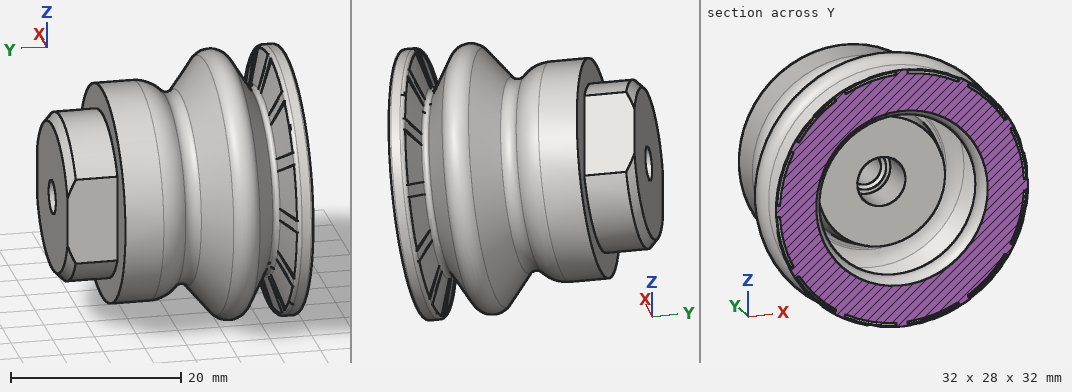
import cadquery as cq
import math


total_length = 28.0
boss_radius = 10.0
boss_chamfer = 1.0
boss_across_flats = 17.0

collar_radius = 13.0
collar_top = 22.0
collar_bottom = 17.4
shoulder_round = 4.0
shoulder_end = 14.5

upper_waist_radius = 11.32
upper_waist_height = 13.55
upper_waist_end_radius = 11.6
upper_waist_end = 12.6

fold_radius = 16.0
fold_height = 8.0
fold_round = 2.0
fold_upper_angle = 49.0
fold_lower_angle = -58.5

lower_waist_radius = 11.0
lower_waist_height = 3.45
lower_waist_top_radius = 11.25
lower_waist_top = 3.95
lower_waist_bottom = 3.1

lip_radius = 16.0
lip_back_inner_radius = 11.35
lip_back_round = 0.55
lip_back_round_angle = 75.0
lip_back_round_end = 1.45
lip_edge_height = 0.35
lip_crest_radius = 15.6
lip_mouth_radius = 15.15
lip_mouth_height = 0.22

rib_count = 12
rib_width = 1.45
rib_height = 0.2

throat_radius = 9.87
throat_height = 3.45
throat_round = 1.93
throat_flare_angle = 70.0
fold_wall = 1.16
cavity_floor_radius = 9.31
cavity_floor_round = 3.0

insert_face_radius = 7.95
insert_base_radius = 8.5
insert_height = 8.87
insert_fillet = 0.58

counterbore_radius = 3.0
counterbore_end = 14.0
countersink_radius = 2.47
passage_radius = 2.0


def on_circle(center, radius, angle):
    """Point in the radius-height plane, with the angle measured from the radial direction."""
    turn = math.radians(angle)
    return center[0] + radius * math.cos(turn), center[1] + radius * math.sin(turn)


fold_center = (fold_radius - fold_round, fold_height)
lip_back_round_center = (lip_radius - lip_back_round, lip_back_round_end)
lip_back_edge = on_circle(lip_back_round_center, lip_back_round, lip_back_round_angle)


def revolve(profile):
    """Turn a closed radius-height profile around the Y axis."""
    return profile.close().revolve(360, (0, 0, 0), (0, 1, 0))


def make_outer_body():
    """Outside shape from the fitting boss down to the lip, without any openings."""
    shoulder_center = (collar_radius - shoulder_round, collar_bottom)
    shoulder_angle = math.degrees(math.asin((shoulder_end - collar_bottom) / shoulder_round))
    profile = (
        cq.Workplane("XY")
        .moveTo(0, total_length)
        .lineTo(boss_radius - boss_chamfer, total_length)
        .lineTo(boss_radius, total_length - boss_chamfer)
        .lineTo(boss_radius, collar_top)
        .lineTo(collar_radius, collar_top)
        .lineTo(collar_radius, collar_bottom)
        .threePointArc(
            on_circle(shoulder_center, shoulder_round, shoulder_angle / 2),
            on_circle(shoulder_center, shoulder_round, shoulder_angle),
        )
        .threePointArc(
            (upper_waist_radius, upper_waist_height),
            (upper_waist_end_radius, upper_waist_end),
        )
        .lineTo(*on_circle(fold_center, fold_round, fold_upper_angle))
        .threePointArc(
            (fold_radius, fold_height),
            on_circle(fold_center, fold_round, fold_lower_angle),
        )
        .lineTo(lower_waist_top_radius, lower_waist_top)
        .threePointArc(
            (lower_waist_radius, lower_waist_height),
            (lip_back_inner_radius, lower_waist_bottom),
        )
        .lineTo(*lip_back_edge)
        .threePointArc(
            on_circle(lip_back_round_center, lip_back_round, lip_back_round_angle / 2),
            (lip_radius, lip_back_round_end),
        )
        .lineTo(lip_radius, lip_edge_height)
        .threePointArc((lip_crest_radius, 0), (lip_mouth_radius, lip_mouth_height))
        .lineTo(0, lip_mouth_height)
    )
    return revolve(profile)


def cut_flats(body):
    """Two parallel wrench flats on the fitting boss."""
    flat_depth = boss_radius - boss_across_flats / 2
    boss_length = total_length - collar_top
    for side in (-1, 1):
        slab = cq.Workplane("XY").box(flat_depth, boss_length, 2 * boss_radius)
        slab = slab.translate(
            (side * (boss_across_flats + flat_depth) / 2, collar_top + boss_length / 2, 0)
        )
        body = body.cut(slab)
    return body


def cut_recesses_between_ribs(body):
    """Wedge-shaped ring sunk into the lip back, interrupted by radial ribs left standing."""
    recess = revolve(
        cq.Workplane("XY")
        .moveTo(lip_back_inner_radius, lower_waist_bottom)
        .lineTo(*lip_back_edge)
        .lineTo(lip_back_edge[0], lip_back_edge[1] - rib_height)
    )
    rib = cq.Workplane("XY").box(lip_radius, lower_waist_height, rib_width)
    rib = rib.translate((lip_radius / 2, lower_waist_height / 2, 0))
    for index in range(rib_count):
        recess = recess.cut(rib.rotate((0, 0, 0), (0, 1, 0), index * 360 / rib_count))
    return body.cut(recess)


def make_cavity():
    """Flared mouth, rounded throat, hollow fold and ring-shaped floor around the insert."""
    inner_fold_round = fold_round - fold_wall
    upper_wall_start = on_circle(fold_center, inner_fold_round, fold_upper_angle)
    upper_wall_tilt = math.radians(fold_upper_angle)
    upper_wall_end_radius = cavity_floor_radius + cavity_floor_round * math.cos(upper_wall_tilt)
    upper_wall_rise = (upper_wall_start[0] - upper_wall_end_radius) / math.tan(upper_wall_tilt)
    upper_wall_end_height = upper_wall_start[1] + upper_wall_rise
    floor_round_center = (
        cavity_floor_radius,
        upper_wall_end_height - cavity_floor_round * math.sin(upper_wall_tilt),
    )
    cavity_depth = floor_round_center[1] + cavity_floor_round
    throat_center = (throat_radius + throat_round, throat_height)
    flare_end = 180 + throat_flare_angle
    fillet_center = (insert_base_radius + insert_fillet, cavity_depth - insert_fillet)
    profile = (
        cq.Workplane("XY")
        .moveTo(0, 0)
        .lineTo(lip_mouth_radius, 0)
        .lineTo(lip_mouth_radius, lip_mouth_height)
        .lineTo(*on_circle(throat_center, throat_round, flare_end))
        .threePointArc(
            (throat_radius, throat_height),
            on_circle(throat_center, throat_round, 180 + fold_lower_angle),
        )
        .lineTo(*on_circle(fold_center, inner_fold_round, fold_lower_angle))
        .threePointArc(
            (fold_center[0] + inner_fold_round, fold_height),
            upper_wall_start,
        )
        .lineTo(upper_wall_end_radius, upper_wall_end_height)
        .threePointArc(
            on_circle(floor_round_center, cavity_floor_round, (fold_upper_angle + 90) / 2),
            (cavity_floor_radius, cavity_depth),
        )
        .lineTo(fillet_center[0], cavity_depth)
        .threePointArc(
            on_circle(fillet_center, insert_fillet, (90 + 180) / 2),
            (insert_base_radius, fillet_center[1]),
        )
        .lineTo(insert_face_radius, insert_height)
        .lineTo(0, insert_height)
    )
    return revolve(profile)


def make_passage():
    """Counterbore from the insert face, narrowing through a 45 degree seat to the passage."""
    seat_end = counterbore_end + countersink_radius - passage_radius
    profile = (
        cq.Workplane("XY")
        .moveTo(0, 0)
        .lineTo(counterbore_radius, 0)
        .lineTo(counterbore_radius, counterbore_end)
        .lineTo(countersink_radius, counterbore_end)
        .lineTo(passage_radius, seat_end)
        .lineTo(passage_radius, total_length)
        .lineTo(0, total_length)
    )
    return revolve(profile)


body = cut_flats(make_outer_body())
body = cut_recesses_between_ribs(body)
result = body.cut(make_cavity()).cut(make_passage())